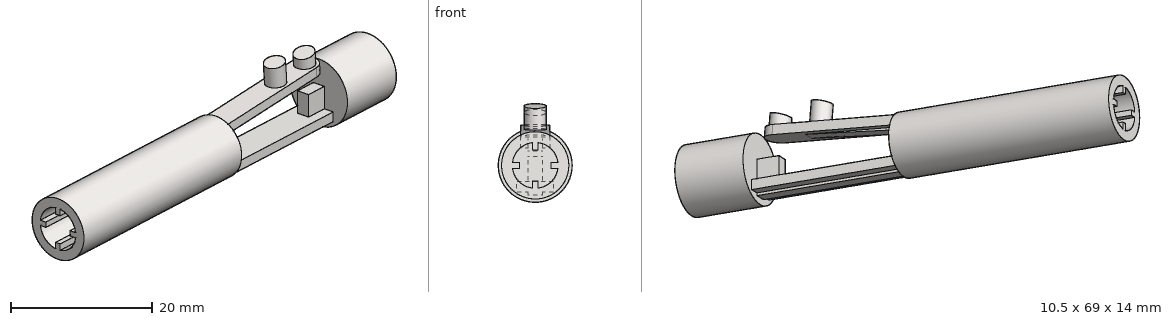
import cadquery as cq
import math

total_length = 69.0
front_y = -total_length / 2
rear_y = total_length / 2

handle_diameter = 9.5
handle_length = 35.1
socket_diameter = 6.5
socket_depth = 31.05
spline_count = 4
spline_width = 0.8
spline_tip_radius = 2.2
handle_rear_y = front_y + handle_length

cap_diameter = 10.5
cap_length = 10.9
cap_front_y = rear_y - cap_length

bar_width = 5.25
bar_top_z = -2.3
bar_thickness = 1.5
rib_width = 2.0
rib_depth = 0.4
gap_length = cap_front_y - handle_rear_y

block_width = 2.0
block_length = 3.5
block_height = 3.5

lever_width = 4.15
lever_thickness = 1.5
lever_length = 22.0
lever_tilt = 4.7
lever_root_z = 4.0
lever_embed = 0.7
lever_rib_length = 15.2

peg_diameter = 3.2
rear_peg = (19.9, 1.85, 15.5)
front_peg = (13.4, 3.3, 12.5)


def cylinder_along_y(diameter, start_y, length):
    return cq.Workplane("XZ", origin=(0, start_y, 0)).circle(diameter / 2).extrude(-length)


def box_along_y(width, start_y, length, top_z, height):
    return (
        cq.Workplane("XY")
        .box(width, length, height, centered=(True, False, False))
        .translate((0, start_y, top_z - height))
    )


def make_handle():
    socket = cylinder_along_y(socket_diameter, front_y, socket_depth)
    spline_length = socket_diameter / 2 - spline_tip_radius
    spline = box_along_y(
        spline_width, front_y, socket_depth, spline_tip_radius + 2 * spline_length, 2 * spline_length
    )
    for index in range(spline_count):
        angle = index * 360 / spline_count
        socket = socket.cut(spline.rotate((0, 0, 0), (0, 1, 0), angle))
    return cylinder_along_y(handle_diameter, front_y, handle_length).cut(socket)


def make_lower_bar():
    bar = box_along_y(bar_width, handle_rear_y, gap_length, bar_top_z, bar_thickness)
    rib = box_along_y(rib_width, handle_rear_y, gap_length, bar_top_z - bar_thickness, rib_depth)
    block = box_along_y(
        block_width, cap_front_y - block_length, block_length, bar_top_z + block_height, block_height
    )
    return bar.union(rib).union(block)


def make_peg(distance, height, top_slope):
    """Peg on the untilted lever; its top slopes down toward the handle once the lever is tilted."""
    radius = peg_diameter / 2
    slope = math.tan(math.radians(top_slope - lever_tilt))
    overlap = lever_thickness / 2
    side_profile = [
        (distance - radius, -overlap),
        (distance + radius, -overlap),
        (distance + radius, height + radius * slope),
        (distance - radius, height - radius * slope),
    ]
    envelope = cq.Workplane("YZ").polyline(side_profile).close().extrude(radius, both=True)
    post = (
        cq.Workplane("XY", origin=(0, distance, -overlap))
        .circle(radius)
        .extrude(overlap + height + peg_diameter)
    )
    return post.intersect(envelope)


def make_lever():
    """Lever built level with its root at the origin, then tilted and moved into place."""
    half_width = lever_width / 2
    arm = (
        cq.Workplane("XY")
        .moveTo(-half_width, -lever_embed)
        .lineTo(half_width, -lever_embed)
        .lineTo(half_width, lever_length - half_width)
        .threePointArc((0, lever_length), (-half_width, lever_length - half_width))
        .close()
        .extrude(-lever_thickness)
    )
    rib_profile = [
        (-lever_embed, -lever_thickness),
        (lever_rib_length, -lever_thickness),
        (0, -lever_thickness - rib_depth),
        (-lever_embed, -lever_thickness - rib_depth),
    ]
    rib = cq.Workplane("YZ").polyline(rib_profile).close().extrude(rib_width / 2, both=True)
    lever = arm.union(rib)
    for distance, height, top_slope in (rear_peg, front_peg):
        lever = lever.union(make_peg(distance, height, top_slope))
    return lever.rotate((0, 0, 0), (1, 0, 0), lever_tilt).translate((0, handle_rear_y, lever_root_z))


cap = cylinder_along_y(cap_diameter, cap_front_y, cap_length)
result = make_handle().union(cap).union(make_lower_bar()).union(make_lever())